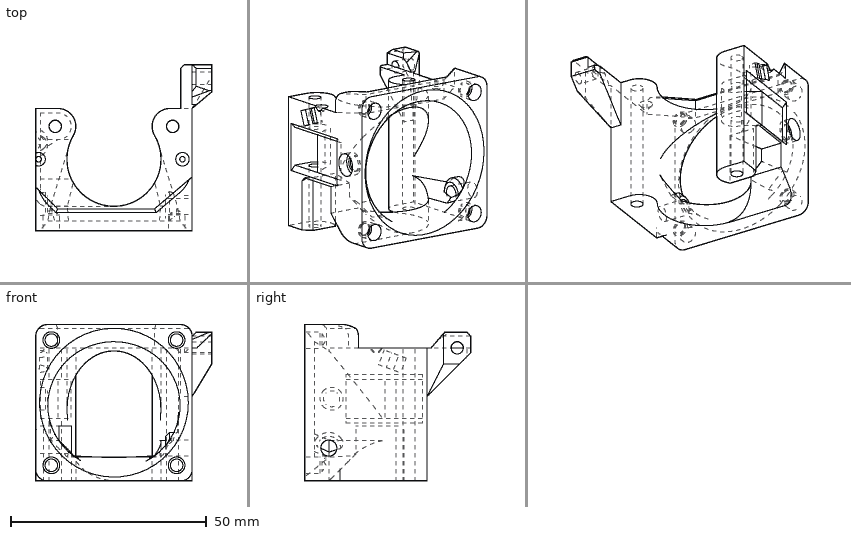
import cadquery as cq
import math

WIDTH = 40.0
HEIGHT = 40.0
HALF = WIDTH / 2
DECK_Z = 34.0
BACK_Y = 31.3
CORNER_RADIUS = 3.0
LOWER_CORNER_LENGTH = 9.0

BORE_RADIUS = 12.0
BORE_Y = 18.3
LOBE_RADIUS = 4.6
LOBE_Y = BACK_Y - LOBE_RADIUS
LOBE_X = math.sqrt((BORE_RADIUS + LOBE_RADIUS) ** 2 - (LOBE_Y - BORE_Y) ** 2)
LOBE_HOLE_X = 15.0
LOBE_HOLE_DIAMETER = 3.1

RIM_BACK_Y = 5.65
RIM_LEFT_CORNER_X = -14.4
RIM_RIGHT_CORNER_X = 10.4
RIM_LEFT_END_Y = 11.2
RIM_RIGHT_END_Y = 13.8
RIM_CHAMFER = 1.0

DUCT_RADIUS = 19.0
DUCT_AXIS_Z = HEIGHT / 2
DISH_Y = 2.5
DISH_HALF_WIDTH = 16.9
DISH_BOTTOM_Z = 3.0
DISH_TOP_Z = 35.6
BEVEL_TOP_Z = 10.4
THROAT_Y = BORE_Y - BORE_RADIUS
THROAT_HALF_WIDTH = 16.2
THROAT_FLOOR_Z = 6.1
THROAT_SHOULDER_Z = 20.0
THROAT_TOP_Z = 33.2
OUTLET_Y = 20.9
OUTLET_HALF_WIDTH = 11.7
OUTLET_FLOOR_Z = 7.0
OUTLET_SHOULDER_Z = 14.6
OUTLET_TOP_Z = 25.8

FAN_PITCH = 32.0
FAN_HOLE_DIAMETER = 4.25
FAN_HOLE_DEPTH = 4.0
FAN_CORE_DIAMETER = 3.2
FAN_CORE_DEPTH = 4.5
FAN_TIP_LENGTH = 1.0

INSERT_DIAMETER = 5.85
INSERT_DEPTH = 2.5
INSERT_CORE_DIAMETER = 4.1
INSERT_CORE_DEPTH = 3.0
INSERT_TIP_LENGTH = 0.0
INSERT_Y = 6.9
INSERT_Z = 21.0
INNER_BOSS_DIAMETER = 8.0
INNER_BOSS_Y = 6.2
INNER_BOSS_Z = 8.4
INNER_BOSS_END_X = 13.2
INNER_BOSS_CHAMFER = 1.0

WINDOW_FRONT_Y = 10.6
WINDOW_Z = (14.75, 27.2)
WINDOW_BEVEL = 1.25
POCKET_FRONT_Y = 20.5
POCKET_WALL = 1.2

NOTCH_TOP_Z = 14.0
NOTCH_FRONT_Y = 13.2
NOTCH_BACK_Y = 23.4
NOTCH_BACK_CHAMFER = 2.0
NOTCH_TOP_CHAMFER = 1.0
NOTCH_SLOPE = 7.0

TIE_Y = 22.45
TIE_Z = 30.55
TIE_INNER_RADIUS = 0.95
TIE_OUTER_RADIUS = 3.0
TIE_WIDTH = 4.0
TIE_TILT = -20.0

DIMPLE_XS = (-19.25, 17.5)
DIMPLE_RADIUS = 1.72
DIMPLE_FLOOR_RADIUS = 0.7
DIMPLE_DEPTH = 1.2

ARM_END_Y = 42.5
ARM_INNER_X = 17.0
ARM_OUTER_X = 25.0
ARM_TIP_Z = 32.8
ARM_ROOT_Z = ARM_TIP_Z - (ARM_END_Y - BACK_Y)
ARM_CHAMFER = 1.0
HEAD_TOP_Z = 38.0
HEAD_TOP_FRONT_Y = 35.8
HEAD_NOSE_Y = 32.3
HEAD_SIDE_Y = 35.5
HEAD_SIDE_Z = 29.9
NOSE_BEVEL_X = 22.3
NOSE_BEVEL_Y = 36.5
NOSE_BEVEL_TURN = -19.0
NOSE_BEVEL_RUN = 3.2
NOSE_BEVEL_DROP = 2.0
ARM_HOLE_Y = 39.0
ARM_HOLE_DIAMETER = 3.1


def box(x_range, y_range, z_range):
    size = [high - low for low, high in (x_range, y_range, z_range)]
    return cq.Workplane("XY", origin=(x_range[0], y_range[0], z_range[0])).box(*size, centered=False)


def along_x(x_start, x_end, points):
    """Prism with a (Y, Z) outline running between two X positions."""
    return cq.Workplane("YZ", origin=(x_start, 0, 0)).polyline(points).close().extrude(x_end - x_start)


def along_y(y_start, y_end, points):
    """Prism with an (X, Z) outline running between two Y positions."""
    return cq.Workplane("XZ", origin=(0, y_start, 0)).polyline(points).close().extrude(y_start - y_end)


def clamp_body():
    """U-shaped body: bore open to the back, with rounded lobes at the ends of the U."""
    body = box((-HALF, HALF), (0, BACK_Y), (0, DECK_Z))
    bore = cq.Workplane("XY").center(0, BORE_Y).circle(BORE_RADIUS).extrude(DECK_Z)
    neck_share = BORE_RADIUS / (BORE_RADIUS + LOBE_RADIUS)
    neck_y = BORE_Y + (LOBE_Y - BORE_Y) * neck_share
    mouth = box((-LOBE_X, LOBE_X), (neck_y, BACK_Y), (0, DECK_Z))
    lobes = (
        cq.Workplane("XY")
        .pushPoints([(-LOBE_X, LOBE_Y), (LOBE_X, LOBE_Y)])
        .circle(LOBE_RADIUS)
        .extrude(DECK_Z)
    )
    holes = (
        cq.Workplane("XY")
        .pushPoints([(-LOBE_HOLE_X, LOBE_Y), (LOBE_HOLE_X, LOBE_Y)])
        .circle(LOBE_HOLE_DIAMETER / 2)
        .extrude(DECK_Z)
    )
    neck_x = LOBE_X * neck_share
    for side in (-1, 1):
        root = (
            cq.Workplane("XY")
            .polyline([(side * LOBE_X, LOBE_Y), (side * neck_x, neck_y), (side * LOBE_X, neck_y)])
            .close()
            .extrude(DECK_Z)
        )
        lobes = lobes.union(root)
    return body.cut(bore).cut(mouth.cut(lobes)).cut(holes)


def fan_rim():
    """Raised rim with two swept-back wings and a chamfered rear edge."""
    outline = [
        (-HALF, 0),
        (HALF, 0),
        (HALF, RIM_RIGHT_END_Y),
        (RIM_RIGHT_CORNER_X, RIM_BACK_Y),
        (RIM_LEFT_CORNER_X, RIM_BACK_Y),
        (-HALF, RIM_LEFT_END_Y),
    ]
    rim = cq.Workplane("XY", origin=(0, 0, DECK_Z)).polyline(outline).close().extrude(HEIGHT - DECK_Z)
    rim = rim.faces(">Z").edges("(not <Y) and (not |Y)").chamfer(RIM_CHAMFER)
    rounded = box((-HALF, HALF), (0, BACK_Y), (0, HEIGHT)).edges("|Y and >Z").fillet(CORNER_RADIUS)
    return rim.intersect(rounded)


def lower_corner_cuts():
    """Material outside the rounded lower corners of the fan face."""
    block = box((-HALF, HALF), (0, LOWER_CORNER_LENGTH), (0, HEIGHT))
    return block.cut(block.edges("|Y and <Z").fillet(CORNER_RADIUS))


def duct_section(y, half_width, floor_z, shoulder_z, top_z):
    """Closed wire in an XZ plane: flat floor, 45 degree lower corners, upright sides, arched top."""
    floor_half_width = half_width - (BEVEL_TOP_Z - floor_z)
    return (
        cq.Workplane("XZ", origin=(0, y, 0))
        .moveTo(-floor_half_width, floor_z)
        .lineTo(floor_half_width, floor_z)
        .lineTo(half_width, BEVEL_TOP_Z)
        .lineTo(half_width, shoulder_z)
        .threePointArc((0, top_z), (-half_width, shoulder_z))
        .lineTo(-half_width, BEVEL_TOP_Z)
        .close()
        .val()
    )


def air_duct():
    """Duct shrinking from the round fan opening to the outlet at the sides of the bore."""
    dish_z = (DISH_BOTTOM_Z + DISH_TOP_Z) / 2
    dish_half_height = (DISH_TOP_Z - DISH_BOTTOM_Z) / 2
    inlet = cq.Workplane("XZ", origin=(0, 0, DUCT_AXIS_Z)).circle(DUCT_RADIUS).wires().val()
    dish = (
        cq.Workplane("XZ", origin=(0, DISH_Y, dish_z))
        .ellipse(DISH_HALF_WIDTH, dish_half_height)
        .wires()
        .val()
    )
    throat = duct_section(THROAT_Y, THROAT_HALF_WIDTH, THROAT_FLOOR_Z, THROAT_SHOULDER_Z, THROAT_TOP_Z)
    outlet = duct_section(OUTLET_Y, OUTLET_HALF_WIDTH, OUTLET_FLOOR_Z, OUTLET_SHOULDER_Z, OUTLET_TOP_Z)
    duct = cq.Workplane("XY")
    for near, far in ((inlet, dish), (dish, throat), (throat, outlet)):
        duct = duct.union(cq.Workplane(cq.Solid.makeLoft([near, far], True)))
    return duct


def stepped_hole(plane, origin, diameter, depth, core_diameter, core_depth, tip_length):
    """Blind stepped hole going against the plane's normal, its core ending in a point of tip_length."""
    profile = [
        (0, 0),
        (diameter / 2, 0),
        (diameter / 2, -depth),
        (core_diameter / 2, -depth),
        (core_diameter / 2, -core_depth),
        (0, -core_depth - tip_length),
    ]
    hole = cq.Workplane("XZ").polyline(profile).close().revolve(360, (0, 0), (0, 1)).val()
    return cq.Workplane(hole.moved(cq.Plane.named(plane, origin).location))


def fan_holes():
    holes = cq.Workplane("XY")
    for x in (-FAN_PITCH / 2, FAN_PITCH / 2):
        for z_offset in (-FAN_PITCH / 2, FAN_PITCH / 2):
            holes = holes.add(
                stepped_hole(
                    "XZ",
                    (x, 0, DUCT_AXIS_Z + z_offset),
                    FAN_HOLE_DIAMETER,
                    FAN_HOLE_DEPTH,
                    FAN_CORE_DIAMETER,
                    FAN_CORE_DEPTH,
                    FAN_TIP_LENGTH,
                )
            )
    return holes.combine()


def inner_boss():
    """Screw boss standing into the duct from the right wall."""
    boss = (
        cq.Workplane("YZ", origin=(INNER_BOSS_END_X, INNER_BOSS_Y, INNER_BOSS_Z))
        .circle(INNER_BOSS_DIAMETER / 2)
        .extrude(HALF - INNER_BOSS_END_X)
    )
    return boss.faces("<X").chamfer(INNER_BOSS_CHAMFER)


def inner_boss_hole():
    return (
        cq.Workplane("YZ", origin=(INNER_BOSS_END_X, INNER_BOSS_Y, INNER_BOSS_Z))
        .circle(INSERT_CORE_DIAMETER / 2)
        .extrude(HALF - INNER_BOSS_END_X)
    )


def window():
    """Shallow window with bevelled top and bottom, deepened into the left lobe."""
    floor_z = WINDOW_Z[0] + WINDOW_BEVEL
    ceiling_z = WINDOW_Z[1] - WINDOW_BEVEL
    floor_x = -HALF + WINDOW_BEVEL
    recess = along_y(
        WINDOW_FRONT_Y,
        LOBE_Y + LOBE_RADIUS - POCKET_WALL,
        [(-HALF, WINDOW_Z[0]), (floor_x, floor_z), (floor_x, ceiling_z), (-HALF, WINDOW_Z[1])],
    )
    pocket_radius = LOBE_RADIUS - POCKET_WALL
    pocket = (
        cq.Workplane("XY", origin=(0, 0, floor_z))
        .moveTo(floor_x, POCKET_FRONT_Y)
        .lineTo(-LOBE_X, LOBE_Y - pocket_radius)
        .threePointArc((-LOBE_X + pocket_radius, LOBE_Y), (-LOBE_X, LOBE_Y + pocket_radius))
        .lineTo(floor_x, LOBE_Y + pocket_radius)
        .close()
        .extrude(ceiling_z - floor_z)
    )
    return recess.union(pocket)


def notch():
    """Opening from the left wall into the bore, sloping forward at the bottom."""
    side = [
        (NOTCH_FRONT_Y - NOTCH_SLOPE, 0),
        (NOTCH_FRONT_Y, NOTCH_SLOPE),
        (NOTCH_FRONT_Y, NOTCH_TOP_Z),
        (NOTCH_BACK_Y, NOTCH_TOP_Z),
        (NOTCH_BACK_Y, 0),
    ]
    opening = along_x(-HALF, 0, side)
    back_chamfer = (
        cq.Workplane("XY")
        .moveTo(-HALF, NOTCH_BACK_Y)
        .lineTo(-HALF + NOTCH_BACK_CHAMFER, NOTCH_BACK_Y)
        .lineTo(-HALF, NOTCH_BACK_Y + NOTCH_BACK_CHAMFER)
        .close()
        .extrude(NOTCH_TOP_Z)
    )
    chamfer_back_y = NOTCH_BACK_Y + NOTCH_BACK_CHAMFER
    sloped_top = along_x(
        -HALF,
        0,
        [
            (NOTCH_BACK_Y, 0),
            (NOTCH_BACK_Y, NOTCH_TOP_Z),
            (chamfer_back_y - NOTCH_TOP_CHAMFER, NOTCH_TOP_Z),
            (chamfer_back_y, NOTCH_TOP_Z - NOTCH_TOP_CHAMFER),
            (chamfer_back_y, 0),
        ],
    )
    return opening.union(back_chamfer.intersect(sloped_top))


def cable_tie_channel():
    """Half-ring tunnel whose two mouths open on the left wall."""
    ring = (
        cq.Workplane("XY")
        .circle(TIE_OUTER_RADIUS)
        .circle(TIE_INNER_RADIUS)
        .extrude(TIE_WIDTH / 2, both=True)
    )
    return ring.rotate((0, 0, 0), (1, 0, 0), TIE_TILT).translate((-HALF, TIE_Y, TIE_Z))


def deck_dimples():
    dimples = cq.Workplane("XY")
    for x in DIMPLE_XS:
        cone = cq.Solid.makeCone(
            DIMPLE_FLOOR_RADIUS, DIMPLE_RADIUS, DIMPLE_DEPTH, cq.Vector(x, BORE_Y, DECK_Z - DIMPLE_DEPTH)
        )
        dimples = dimples.add(cone)
    return dimples.combine()


def arm_plate():
    """Gusset that continues the right wall backwards."""
    plate = along_x(
        ARM_INNER_X,
        HALF,
        [(BACK_Y, ARM_ROOT_Z), (ARM_END_Y, ARM_TIP_Z), (ARM_END_Y, DECK_Z), (BACK_Y, DECK_Z)],
    )
    return plate.edges("|Z and >Y and <X").chamfer(ARM_CHAMFER)


def nose_bevel():
    """Wedge taken off the top of the head's nose, turned slightly towards the right."""
    half_length = ARM_OUTER_X - HALF
    wedge = along_x(
        -half_length,
        half_length,
        [(0, HEAD_TOP_Z), (-NOSE_BEVEL_RUN, HEAD_TOP_Z - NOSE_BEVEL_DROP), (-NOSE_BEVEL_RUN, HEAD_TOP_Z)],
    )
    turned = wedge.rotate((0, 0, 0), (0, 0, 1), NOSE_BEVEL_TURN)
    return turned.translate((NOSE_BEVEL_X, NOSE_BEVEL_Y, 0))


def arm_head():
    """Tapered head beside the gusset, with a cross hole."""
    side = along_x(
        HALF,
        ARM_OUTER_X,
        [
            (BACK_Y, ARM_ROOT_Z),
            (ARM_END_Y, ARM_TIP_Z),
            (ARM_END_Y, HEAD_TOP_Z - ARM_CHAMFER),
            (ARM_END_Y - ARM_CHAMFER, HEAD_TOP_Z),
            (HEAD_TOP_FRONT_Y, HEAD_TOP_Z),
            (HEAD_NOSE_Y, DECK_Z),
            (BACK_Y, DECK_Z),
        ],
    )
    plan = (
        cq.Workplane("XY")
        .polyline([(HALF, BACK_Y), (ARM_OUTER_X, HEAD_SIDE_Y), (ARM_OUTER_X, ARM_END_Y), (HALF, ARM_END_Y)])
        .close()
        .extrude(HEIGHT)
    )
    face = along_y(
        BACK_Y,
        ARM_END_Y,
        [
            (HALF, ARM_ROOT_Z),
            (ARM_OUTER_X, HEAD_SIDE_Z),
            (ARM_OUTER_X, HEAD_TOP_Z),
            (HALF + ARM_CHAMFER, HEAD_TOP_Z),
            (HALF, HEAD_TOP_Z - ARM_CHAMFER),
        ],
    )
    hole = (
        cq.Workplane("YZ", origin=(HALF, ARM_HOLE_Y, DECK_Z))
        .circle(ARM_HOLE_DIAMETER / 2)
        .extrude(ARM_OUTER_X - HALF)
    )
    return side.intersect(plan).intersect(face).cut(hole).cut(nose_bevel())


insert_hole = stepped_hole(
    "ZY",
    (-HALF, INSERT_Y, INSERT_Z),
    INSERT_DIAMETER,
    INSERT_DEPTH,
    INSERT_CORE_DIAMETER,
    INSERT_CORE_DEPTH,
    INSERT_TIP_LENGTH,
)

result = (
    clamp_body()
    .union(fan_rim())
    .cut(air_duct())
    .union(inner_boss())
    .cut(inner_boss_hole())
    .cut(lower_corner_cuts())
    .cut(fan_holes())
    .cut(insert_hole)
    .cut(window())
    .cut(notch())
    .cut(cable_tie_channel())
    .cut(deck_dimples())
    .union(arm_plate())
    .union(arm_head())
)